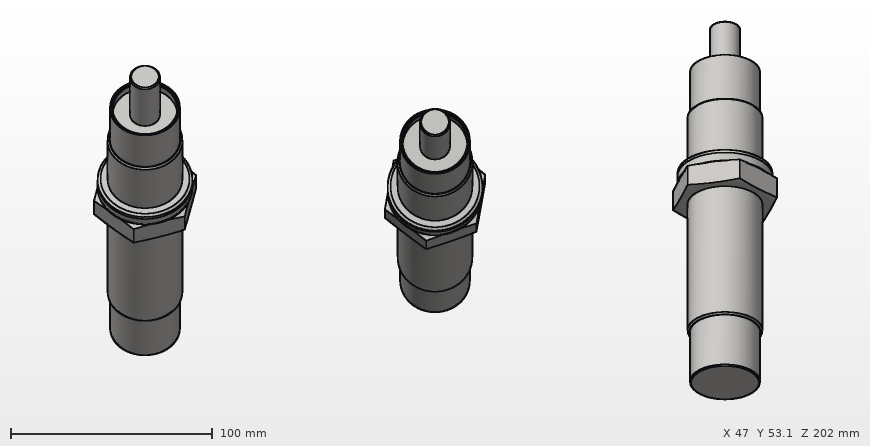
import cadquery as cq
import math

overall_height = 202
rod_shoulder_z = 172.0
cup_rim_z = 177.0
barrel_top_z = 152.0
barrel_bottom_z = 28.9
ring_top_z = 120.2
ring_bevel_z = 119.4
ring_bottom_z = 117.8
hex_top_z = 113.3
nut_bottom_z = 101.5

rod_diameter = 15.0
cup_diameter = 34.7
cup_bore_diameter = 32.0
barrel_diameter = 37.2
tail_diameter = 34.7
flange_diameter = 47.0
ring_top_diameter = 44.0
nut_corner_diameter = 53.1

rod_chamfer = 0.7
cup_rim_chamfer = 0.6
barrel_chamfer = 0.9
tail_chamfer = 0.6
nut_chamfer_height = 0.6
rod_socket_depth = 10

nut_flats = nut_corner_diameter * math.cos(math.pi / 6)


def cylinder(diameter, bottom_z, top_z):
    """Solid cylinder on the Z axis between two heights."""
    return cq.Workplane("XY").workplane(offset=bottom_z).circle(diameter / 2).extrude(top_z - bottom_z)


def revolve_profile(points):
    """Turn a closed (radius, z) outline about the Z axis."""
    return cq.Workplane("XZ").polyline(points).close().revolve(360, (0, 0, 0), (0, 1, 0))


def make_rod():
    rod = cylinder(rod_diameter, rod_shoulder_z - rod_socket_depth, overall_height)
    return rod.faces(">Z").chamfer(rod_chamfer)


def make_housing():
    tail = cylinder(tail_diameter, 0, barrel_bottom_z).faces("<Z").chamfer(tail_chamfer)
    barrel = cylinder(barrel_diameter, barrel_bottom_z, barrel_top_z)
    barrel = barrel.faces("<Z or >Z").chamfer(barrel_chamfer)
    cup = cylinder(cup_diameter, barrel_top_z, cup_rim_z)
    cup = cup.cut(cylinder(cup_bore_diameter, rod_shoulder_z, cup_rim_z))
    inner_edge = cq.selectors.RadiusNthSelector(0)
    cup = cup.faces(">Z").edges(inner_edge).chamfer(cup_rim_chamfer)
    rod_socket = cylinder(rod_diameter, rod_shoulder_z - rod_socket_depth, rod_shoulder_z)
    return tail.union(barrel).union(cup).cut(rod_socket)


def make_seal_ring():
    bore_radius = barrel_diameter / 2
    return revolve_profile([
        (bore_radius, ring_bottom_z),
        (flange_diameter / 2, ring_bottom_z),
        (flange_diameter / 2, ring_bevel_z),
        (ring_top_diameter / 2, ring_top_z),
        (bore_radius, ring_top_z),
    ])


def make_nut():
    hex_height = hex_top_z - nut_bottom_z
    hexagon = (
        cq.Workplane("XY").workplane(offset=nut_bottom_z)
        .polygon(6, nut_corner_diameter).extrude(hex_height)
        .rotate((0, 0, 0), (0, 0, 1), 30)
    )
    face_radius = nut_flats / 2
    corner_radius = nut_corner_diameter / 2
    envelope = revolve_profile([
        (0, nut_bottom_z),
        (face_radius, nut_bottom_z),
        (corner_radius, nut_bottom_z + nut_chamfer_height),
        (corner_radius, hex_top_z - nut_chamfer_height),
        (face_radius, hex_top_z),
        (0, hex_top_z),
    ])
    flange = cylinder(flange_diameter, hex_top_z, ring_bottom_z)
    bore = cylinder(barrel_diameter, nut_bottom_z, ring_bottom_z)
    return hexagon.intersect(envelope).union(flange).cut(bore)


rod = make_rod()
housing = make_housing()
seal_ring = make_seal_ring()
nut = make_nut()

result = cq.Compound.makeCompound([rod.val(), housing.val(), seal_ring.val(), nut.val()])